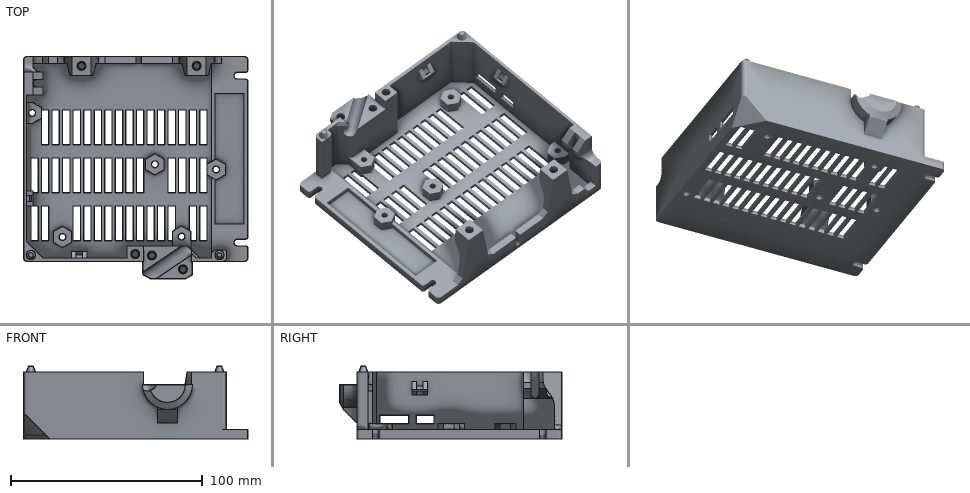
import cadquery as cq
import math

length = 117.0
depth = 107.0
wall_top = 35.0
floor_top = 2.0
flange_top = 5.0
corner_radius = 2.0

left_wall = 1.6
front_wall = 1.9
back_wall = 3.8
front_wall_end = 105.75
cavity_right = 98.0
cavity_back = depth - back_wall

insert_diameter = 4.6
pilot_diameter = 3.4
insert_depth = 6.0
pilot_depth = 8.0

clamp_x = 75.05
clamp_y = -0.9
clamp_radius = 13.0
clamp_reach = 9.0
clamp_top = 28.4
clamp_bevel_depth = 2.0
clamp_bevel_height = 3.7
clamp_gap = 25.0
block_left = 54.0
block_depth = 8.1
block_bevel_sum = 93.7
clamp_rib_width = 10.2
clamp_rib_drop = 7.0
groove_radius = 3.4
groove_angle = 34.0
clamp_holes = ((66.9, 3.15), (83.1, -4.1))
block_hole = (58.2, 3.9)

pin_base_radius = 2.4
pin_tip_radius = 1.2
pin_height = 3.0
pin_y = 3.4
pin_xs = (3.8, 102.1)

post_xs = (30.2, 90.25)
post_size = 10.0
post_hole_setback = 5.0
post_lean = math.tan(math.radians(9.4))
post_curve_top = 32.0
post_curve_bottom = 16.0
back_ledge = 9.6
shoulder_top = 12.0

vent_pitch_x = 5.5
vent_pitch_y = 25.0
vent_width = 3.7
vent_length = 18.0
vent_start_x = 3.9
vent_start_y = 10.9
vent_columns = 17
vent_rows_skipped = ((2, 3, 14), (11, 12), (0,))

standoff_flats = 9.6
standoff_top = 8.0
wall_standoff = (4.5, 77.5)
block_standoff = (82.4, 13.0)
free_standoffs = ((68.5, 50.7), (20.3, 12.8), (100.4, 48.0))

thick_wall = 4.8
thick_wall_start = 86.9
notch_y = 98.8
notch_bottom = 21.0
notch_radius = cavity_back - notch_y
hook_reach = 5.4
hook_shoulder = 29.5
hook_channel_radius = 2.05
hook_channel_y = 92.95


def box(x0, x1, y0, y1, z0, z1):
    """Axis-aligned block between two opposite corners."""
    return cq.Workplane("XY").box(x1 - x0, y1 - y0, z1 - z0, centered=False).translate((x0, y0, z0))


def cylinder(x, y, z0, z1, diameter):
    """Upright cylinder between two heights."""
    return cq.Workplane("XY", origin=(x, y, z0)).circle(diameter / 2).extrude(z1 - z0)


def prism_along_x(points, x0, x1):
    """Extrude a (y, z) polygon from x0 to x1."""
    return cq.Workplane("YZ", origin=(x0, 0, 0)).polyline(points).close().extrude(x1 - x0)


def prism_along_y(points, y0, y1):
    """Extrude an (x, z) polygon from y0 to y1."""
    return cq.Workplane("XZ", origin=(0, y1, 0)).polyline(points).close().extrude(y1 - y0)


def prism_along_z(points, z0, z1):
    """Extrude an (x, y) polygon from z0 to z1."""
    return cq.Workplane("XY", origin=(0, 0, z0)).polyline(points).close().extrude(z1 - z0)


def insert_hole(x, y, top):
    """Blind stepped hole: insert seat over a narrower pilot."""
    seat = cylinder(x, y, top - insert_depth, top, insert_diameter)
    return seat.union(cylinder(x, y, top - pilot_depth, top, pilot_diameter))


def base_plate():
    """Floor and flange, with the sunken floor and the flange pocket."""
    pocket_x = (99.8, 115.05)
    pocket_y = (19.5, 87.5)
    plate = box(0, length, 0, depth, 0, flange_top).edges("|Z").fillet(corner_radius)
    plate = plate.cut(box(left_wall, cavity_right, front_wall, cavity_back, floor_top, flange_top))
    return plate.cut(box(*pocket_x, *pocket_y, floor_top, flange_top))


def flange_slots():
    """Open-ended screw slots in the flange edge, with rounded mouths."""
    slot_ys = (9.9, 96.9)
    slot_width = 3.4
    slot_end = 109.8
    mouth_radius = 1.4
    half = slot_width / 2
    slots = cq.Workplane("XY")
    for y in slot_ys:
        slot = box(slot_end + half, length, y - half, y + half, 0, flange_top)
        slot = slot.union(cylinder(slot_end + half, y, 0, flange_top, slot_width))
        start = length - mouth_radius
        mouth = box(start, length, y - half - mouth_radius, y + half + mouth_radius, 0, flange_top)
        for side in (-1, 1):
            edge_y = y + side * (half + mouth_radius)
            mouth = mouth.cut(cylinder(start, edge_y, 0, flange_top, 2 * mouth_radius))
        slots = slots.add(slot.union(mouth))
    return slots


def side_walls():
    """Left and front walls with their corner blocks."""
    gusset_size = 12.0
    end_block_left = 98.0
    end_block_depth = 5.9
    end_block_bevel = (1.7, 1.1)
    outline = [(0, 0), (front_wall_end, 0), (front_wall_end, end_block_depth)]
    outline += [
        (end_block_left + end_block_bevel[0], end_block_depth),
        (end_block_left, end_block_depth - end_block_bevel[1]),
        (end_block_left, front_wall),
        (block_bevel_sum - front_wall, front_wall),
        (block_bevel_sum - block_depth, block_depth),
        (block_left, block_depth),
        (block_left, front_wall),
        (gusset_size - front_wall, front_wall),
        (left_wall, gusset_size - left_wall),
        (left_wall, thick_wall_start),
        (thick_wall, thick_wall_start),
        (thick_wall, depth),
        (0, depth),
    ]
    walls = prism_along_z(outline, 0, wall_top)
    rounding = box(0, front_wall_end, 0, depth, 0, wall_top)
    return walls.intersect(rounding.edges("|Z").fillet(corner_radius))


def block_end_chamfer():
    """Chamfer along the top edge of the clamp block's 45 degree end."""
    size = 1.8
    inset = size / math.sqrt(2)
    half_length = 6.0
    middle = block_bevel_sum / 2
    shift = (middle - front_wall) * math.sqrt(2)
    edge = prism_along_x([(0, wall_top), (-inset, wall_top), (0, wall_top - size)],
                         shift - 2 * half_length, shift)
    edge = edge.rotate((0, 0, 0), (0, 0, 1), -45).translate((middle, middle, 0))
    return edge.intersect(box(0, length, front_wall, block_depth, 0, wall_top))


def cable_hooks():
    """Bevelled ledge inside the left wall, split into two hooks by a round-bottomed channel."""
    tip = thick_wall + hook_reach
    profile = [
        (left_wall, notch_bottom),
        (thick_wall, notch_bottom),
        (tip, notch_bottom + hook_reach),
        (tip, hook_shoulder),
        (thick_wall, hook_shoulder + hook_reach),
        (left_wall, hook_shoulder + hook_reach),
    ]
    ledge = prism_along_y(profile, thick_wall_start, notch_y + notch_radius)
    channel_lift = 0.3
    channel_z = notch_bottom + channel_lift + hook_channel_radius
    channel = box(thick_wall, tip, hook_channel_y - hook_channel_radius,
                  hook_channel_y + hook_channel_radius, channel_z, wall_top)
    round_bottom = cq.Workplane("YZ", origin=(thick_wall, hook_channel_y, channel_z))
    channel = channel.union(round_bottom.circle(hook_channel_radius).extrude(hook_reach))
    return ledge.cut(channel)


def cable_notch():
    """Notch through the back end of the left wall, rounded at its inner corner."""
    reach = thick_wall + hook_reach
    notch = box(0, reach, notch_y, depth + notch_radius, notch_bottom, wall_top)
    return notch.edges("|X and <Y and <Z").fillet(notch_radius)


def back_wall_body():
    """Low back wall that slopes up to the feet of the posts."""
    left_ledge = 5.5
    left_step = (9.9, 13.0)
    right_end = 103.3
    slope_run = 3.4
    slope_rise = shoulder_top - back_ledge
    left_shoulder = 21.0
    middle_shoulder = 39.0
    right_shoulder = 81.0
    outline = [
        (0, 0),
        (right_end, 0),
        (right_end, flange_top),
        (right_end - slope_run, flange_top + slope_rise),
        (post_xs[1], flange_top + slope_rise),
        (post_xs[1], shoulder_top),
        (right_shoulder, shoulder_top),
        (right_shoulder - slope_run, back_ledge),
        (middle_shoulder + slope_run, back_ledge),
        (middle_shoulder, shoulder_top),
        (left_shoulder, shoulder_top),
        (left_shoulder - slope_run, back_ledge),
        (left_step[1], back_ledge),
        (left_step[0], left_ledge),
        (0, left_ledge),
    ]
    wall = prism_along_y(outline, cavity_back, depth)
    return wall.edges("|Z and <X and >Y").fillet(corner_radius)


def cable_slot():
    """Round-bottomed slot down through the back wall."""
    slot_x = 60.1
    slot_radius = 1.45
    slot_bottom = 2.5
    centre_z = slot_bottom + slot_radius
    slot = box(slot_x - slot_radius, slot_x + slot_radius, cavity_back, depth, centre_z, wall_top)
    bottom = cq.Workplane("XZ", origin=(slot_x, depth, centre_z)).circle(slot_radius).extrude(back_wall)
    return slot.union(bottom)


def back_post(x):
    """Post whose sides lean outward and whose front sweeps back to the wall in an S."""
    front = depth - post_size
    mid_y = (front + cavity_back) / 2
    mid_z = (post_curve_top + post_curve_bottom) / 2
    side = (
        cq.Workplane("YZ", origin=(x - post_size, 0, 0))
        .moveTo(depth, wall_top)
        .lineTo(front, wall_top)
        .lineTo(front, post_curve_top)
        .tangentArcPoint((mid_y, mid_z), relative=False)
        .tangentArcPoint((cavity_back, post_curve_bottom), relative=False)
        .lineTo(cavity_back, flange_top)
        .lineTo(depth, flange_top)
        .close()
        .extrude(2 * post_size)
    )
    half_top = post_size / 2
    half_bottom = half_top + post_lean * (wall_top - flange_top)
    face = [
        (x - half_top, wall_top),
        (x + half_top, wall_top),
        (x + half_bottom, flange_top),
        (x - half_bottom, flange_top),
    ]
    return side.intersect(prism_along_y(face, front, depth))


def locating_pin(x):
    """Tapered pin on top of the front wall."""
    base = cq.Workplane("XY", origin=(x, pin_y, wall_top)).circle(pin_base_radius)
    return base.workplane(offset=pin_height).circle(pin_tip_radius).loft()


def corner_cut():
    """Tetrahedron removed from the front left bottom corner."""
    size = 13.7
    tip = 0.01
    base = cq.Workplane("XY").polyline([(0, 0), (size, 0), (0, size)]).close()
    return base.workplane(offset=size - tip).polyline([(0, 0), (tip, 0), (0, tip)]).close().loft(ruled=True)


def vents():
    """Rows of rectangular floor openings, leaving out those beneath standoffs."""
    openings = cq.Workplane("XY")
    for row, skipped in enumerate(vent_rows_skipped):
        y = vent_start_y + row * vent_pitch_y
        for column in range(vent_columns):
            if column not in skipped:
                x = vent_start_x + column * vent_pitch_x
                openings = openings.add(box(x, x + vent_width, y, y + vent_length, 0, floor_top))
    return openings


def hexagon(x, y):
    """Standoff hexagon with corners pointing along Y."""
    corners = standoff_flats / math.cos(math.pi / 6)
    column = cq.Workplane("XY").polygon(6, corners).extrude(standoff_top)
    return column.rotate((0, 0, 0), (0, 0, 1), 90).translate((x, y, 0))


def standoffs():
    """Hexagonal standoffs; one runs into the left wall and one into the clamp block."""
    half = standoff_flats / 2
    corner = half / math.cos(math.pi / 6)
    x, y = wall_standoff
    posts = hexagon(x, y).intersect(box(left_wall, x + half, y - corner, y + corner, 0, standoff_top))
    posts = posts.union(box(left_wall, x, y - corner, y + corner, 0, standoff_top))
    x, y = block_standoff
    posts = posts.union(hexagon(x, y)).union(box(x - half, x + half, front_wall, y, 0, standoff_top))
    for x, y in free_standoffs:
        posts = posts.union(hexagon(x, y))
    return posts


def standoff_holes():
    """Screw holes through the standoffs and the floor."""
    holes = cq.Workplane("XY")
    for x, y in (wall_standoff, block_standoff, *free_standoffs):
        holes = holes.add(cylinder(x, y, 0, standoff_top, pilot_diameter))
    return holes


def clamp():
    """Half-round cable clamp on the front wall with a 45 degree rib beneath it."""
    bevel_start = clamp_reach - clamp_bevel_depth
    nose_radius = clamp_radius - clamp_bevel_height
    half_round = (
        cq.Workplane("XY", origin=(clamp_x, 0, clamp_top))
        .polyline([(0, front_wall), (clamp_radius, front_wall), (clamp_radius, -bevel_start),
                   (nose_radius, -clamp_reach), (0, -clamp_reach)])
        .close()
        .revolve(180, (0, 0, 0), (0, 1, 0))
    )
    underside = clamp_top - clamp_radius
    rib_top = underside + 1.0
    rib = prism_along_x(
        [(0, underside - clamp_rib_drop), (-clamp_rib_drop, underside),
         (-clamp_rib_drop, rib_top), (0, rib_top)],
        clamp_x - clamp_rib_width / 2,
        clamp_x + clamp_rib_width / 2,
    )
    return half_round.union(rib)


def clamp_cuts():
    """Gap above the clamp, diagonal cable groove and the clamp's screw holes."""
    half_gap = clamp_gap / 2
    gap = box(clamp_x - half_gap, clamp_x + half_gap, 0, block_depth, clamp_top, wall_top)
    groove_start = 22.0
    groove_length = 45.0
    groove = cq.Workplane("YZ").circle(groove_radius).extrude(groove_length).translate((-groove_start, 0, 0))
    groove = groove.rotate((0, 0, 0), (0, 0, 1), groove_angle).translate((clamp_x, clamp_y, clamp_top))
    cuts = gap.union(groove)
    for x, y in clamp_holes:
        cuts = cuts.union(insert_hole(x, y, clamp_top))
    return cuts


def tie_anchor():
    """Ramped wire-tie loop, standing on the plane y = 0 and centred on x = 0."""
    width = 8.0
    reach = 3.4
    opening = 3.3
    bridge_depth = 0.9
    inner_reach = 1.5
    steepness = 1.2
    top, bottom = 30.0, 23.0
    lip_top = top - steepness * reach
    lip_bottom = lip_top - bridge_depth
    ramp = prism_along_x([(0, bottom), (reach, lip_bottom), (reach, lip_top), (0, top)],
                         -width / 2, width / 2)
    hole = box(-opening / 2, opening / 2, 0, reach, bottom, top)
    bridge = box(-opening / 2, opening / 2, reach - bridge_depth, reach, lip_bottom, lip_top)
    inner_top = lip_top + steepness * inner_reach
    inner = prism_along_x([(0, bottom), (inner_reach, lip_top), (0, inner_top)], -opening / 2, opening / 2)
    return ramp.cut(hole).union(inner).union(bridge)


def wall_windows():
    """Connector openings through the left wall."""
    bottom, top = 8.0, 12.3
    windows = cq.Workplane("XY")
    for y0, y1 in ((12.0, 27.0), (31.1, 40.2)):
        windows = windows.add(box(0, left_wall, y0, y1, bottom, top))
    return windows


front_anchor_x = 29.0
left_anchor_y = 32.9

result = base_plate().union(side_walls()).union(cable_hooks()).union(back_wall_body())
result = result.cut(cable_notch()).cut(cable_slot()).cut(block_end_chamfer())
result = result.union(clamp()).cut(clamp_cuts()).cut(insert_hole(*block_hole, wall_top))
result = result.cut(vents()).union(standoffs()).cut(standoff_holes())
for post_x in post_xs:
    result = result.union(back_post(post_x)).cut(insert_hole(post_x, depth - post_hole_setback, wall_top))
for pin_x in pin_xs:
    result = result.union(locating_pin(pin_x))
result = result.union(tie_anchor().translate((front_anchor_x, front_wall, 0)))
left_anchor = tie_anchor().rotate((0, 0, 0), (0, 0, 1), -90)
result = result.union(left_anchor.translate((left_wall, left_anchor_y, 0)))
result = result.cut(flange_slots()).cut(wall_windows()).cut(corner_cut())